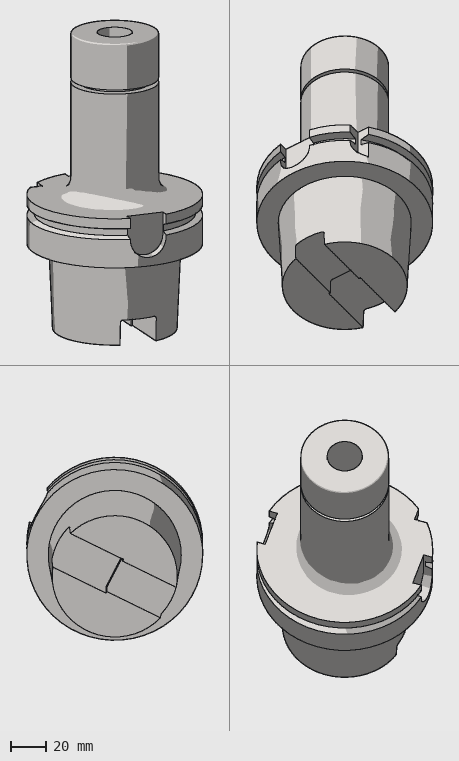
import cadquery as cq
import math

total_height = 175.0
shank_length = 50.0
flange_height = 29.0
nose_top = total_height - shank_length

shank_top_radius = 37.8
shank_end_radius = 35.5

flange_radius = 50.0
grip_floor_radius = 46.0
grip_center_depth = 9.1
grip_mouth_width = 6.5
grip_floor_width = 3.8

nose_radius = 25.0
root_fillet = 10.0
nose_rounding = 1.0
neck_radius = 20.1
neck_top_depth = 27.0
neck_width = 2.5
bore_radius = 10.0
bore_depth = 50.0

slot_floor = 44.0
left_slot_width = 20.0
right_slot_width = 22.0
slot_depth = 24.0
left_key_height = 10.0
right_key_height = 15.0
key_corner_radius = 1.5

notch_floor_x = 31.5
notch_wall_y = 31.3
notch_width = 20.0


def revolved_body():
    """Shank, flange, root fillet and nose as one revolved profile."""
    grip_center = flange_height - grip_center_depth
    neck_top = nose_top - neck_top_depth
    neck_bottom = neck_top - neck_width
    fillet_inset = root_fillet * (1 - math.sqrt(0.5))
    rounding_inset = nose_rounding * (1 - math.sqrt(0.5))
    return (
        cq.Workplane("YZ")
        .moveTo(0, -shank_length)
        .lineTo(shank_end_radius, -shank_length)
        .lineTo(shank_top_radius, 0)
        .lineTo(flange_radius, 0)
        .lineTo(flange_radius, grip_center - grip_mouth_width / 2)
        .lineTo(grip_floor_radius, grip_center - grip_floor_width / 2)
        .lineTo(grip_floor_radius, grip_center + grip_floor_width / 2)
        .lineTo(flange_radius, grip_center + grip_mouth_width / 2)
        .lineTo(flange_radius, flange_height)
        .lineTo(nose_radius + root_fillet, flange_height)
        .threePointArc(
            (nose_radius + fillet_inset, flange_height + fillet_inset),
            (nose_radius, flange_height + root_fillet),
        )
        .lineTo(nose_radius, neck_bottom)
        .lineTo(neck_radius, neck_bottom)
        .lineTo(neck_radius, neck_top)
        .lineTo(nose_radius, neck_top)
        .lineTo(nose_radius, nose_top - nose_rounding)
        .threePointArc(
            (nose_radius - rounding_inset, nose_top - rounding_inset),
            (nose_radius - nose_rounding, nose_top),
        )
        .lineTo(0, nose_top)
        .close()
        .revolve(360, (0, 0), (0, 1))
    )


def round_end_slot(width, center_y, x_start, x_end):
    """Cutter open at the flange top with a half-round lower end, running along X."""
    radius = width / 2
    bottom = flange_height - slot_depth
    return (
        cq.Workplane("YZ", origin=(x_start, center_y, 0))
        .moveTo(-radius, flange_height)
        .lineTo(-radius, bottom + radius)
        .threePointArc((0, bottom), (radius, bottom + radius))
        .lineTo(radius, flange_height)
        .close()
        .extrude(x_end - x_start)
    )


def shank_keyway(width, height, side):
    """Cutter for a keyway in the shank end, from the axis out to one side in X."""
    return (
        cq.Workplane("XY", origin=(side * flange_radius / 2, 0, -shank_length))
        .box(flange_radius, width, height, centered=(True, True, False))
        .edges("|X and >Z")
        .fillet(key_corner_radius)
    )


result = revolved_body()

bore = cq.Workplane("XY", origin=(0, 0, nose_top)).circle(bore_radius).extrude(-bore_depth)
result = result.cut(bore)

result = result.cut(round_end_slot(left_slot_width, 0, -flange_radius, -slot_floor))
result = result.cut(round_end_slot(right_slot_width, 0, slot_floor, flange_radius))
notch_center_y = -notch_wall_y - notch_width / 2
result = result.cut(round_end_slot(notch_width, notch_center_y, -flange_radius, -notch_floor_x))

result = result.cut(shank_keyway(left_slot_width, left_key_height, -1))
result = result.cut(shank_keyway(right_slot_width, right_key_height, 1))